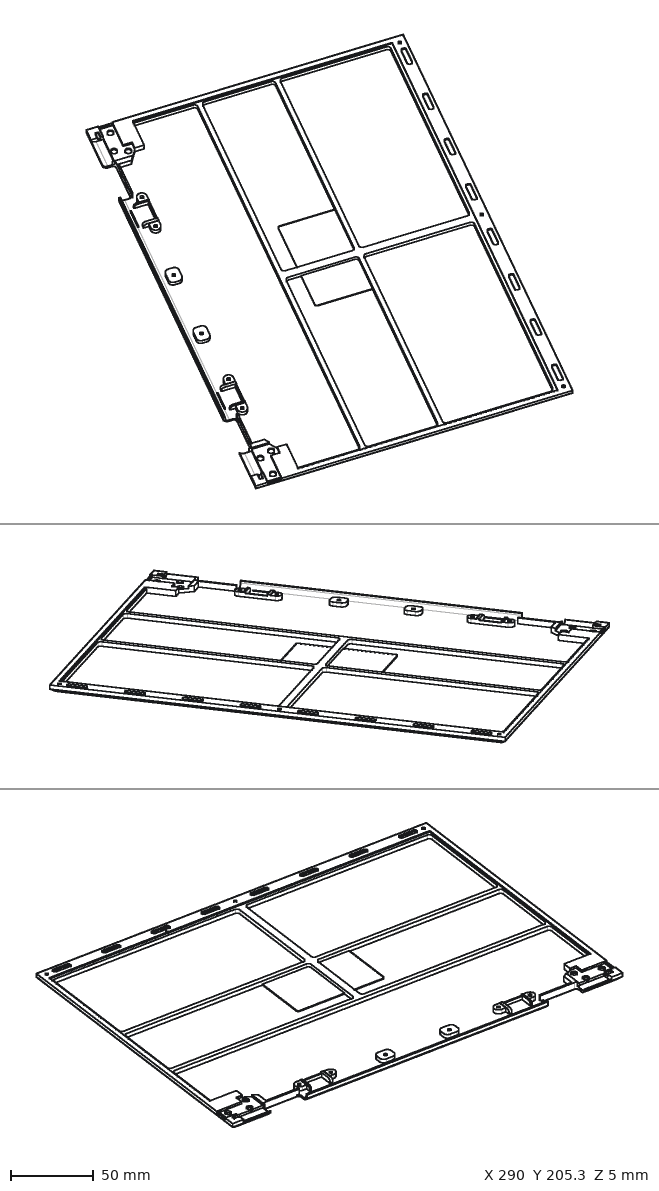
import cadquery as cq
import math

LENGTH = 290.0
DEPTH = 205.3
HEIGHT = 5.0
FRONT = -DEPTH / 2
BACK = DEPTH / 2
SIDE = LENGTH / 2
CHAMFER_HEIGHT = 2.3
CHAMFER_WIDTH = 3.2
FRONT_CHAMFER_WIDTH = 2.3

FLOOR_Z = 1.2
RIB_Z = 4.0

SIDE_RIM = 3.5
BACK_RIM = 8.5
LEDGE_SIDE = 1.2
LEDGE_BACK = 2.0
RIB_WIDTH = 3.2
CENTER_RIB_WIDTH = 5.2
REAR_RIB_Y = 19.0
MIDDLE_RIB_Y = -31.3
PANEL_RADIUS = 2.0
FRONT_LIP = 1.2
LIP_FILLET = 2.5

NOTCH_OUTER_X = 117.0
NOTCH_INNER_X = 89.5
NOTCH_Y = -94.5
NOTCH_LIP = 1.2
NOTCH_RADIUS = 2.0

CORNER_PAD_Y = -74.0
CORNER_PAD_X = 121.8
CORNER_PAD_SLOPE_Y = -80.0
CORNER_PAD_INNER_X = 113.7
CORNER_PAD_INNER_Y = -85.3

SEAT_Z = 3.5
SEAT_OUTER_X = 143.5
SEAT_STEP_X = 126.5
SEAT_BACK_Y = -85.8
SEAT_STEP_Y = CORNER_PAD_SLOPE_Y
SEAT_FRONT_Y = -94.8
SEAT_EDGE_Z = 4.0
SEAT_HOLES = [(139.0, -89.3), (122.0, -84.0), (125.0, -92.2)]
SEAT_HOLE_DIAMETER = 4.0
SEAT_HOLE_DEPTH = 1.2

TROUGH_OUTER_X = 137.0
TROUGH_Z = 1.7
TROUGH_LIP_Z = 3.8
TROUGH_CURVE = 3.2
TROUGH_SLOT_OUTER_X = 141.0
TROUGH_SLOT_Y = -97.5
TROUGH_SLOT_WIDTH = 2.0

SLOTS_PER_SIDE = 4
SLOT_FIRST_X = 18.3
SLOT_PITCH = 36.8
SLOT_Y = 99.0
SLOT_LENGTH = 12.8
SLOT_WIDTH = 3.2
SLOT_RADIUS = 1.2
SLOT_DEPTH = 1.2
RIM_HOLE_X = 140.0
RIM_HOLE_Y = 98.5
SMALL_HOLE_DIAMETER = 2.0
SMALL_HOLE_DEPTH = 1.7

PLATE_LEFT_X = -37.5
PLATE_RIGHT_X = 27.3
PLATE_FRONT_Y = -19.5
PLATE_HEIGHT = 0.5
PLATE_RADIUS = 1.5

BOSS_X = 23.8
BOSS_Y = -92.0
BOSS_LENGTH = 10.7
BOSS_WIDTH = 8.7
BOSS_RADIUS = 3.0
BOSS_Z = 3.8

EAR_Z = 4.0
CHEEK_Z = 4.4
CHEEK_FILLET = 2.3
BACK_WALL_Z = 3.5
BRACKET_BACK_Y = -85.8
EAR_WIDTH = 6.5
EAR_OUTER_X = 89.0
EAR_INNER_X = 59.2
CHEEK_OUTER_X = 82.6
CHEEK_INNER_X = 65.5
CHEEK_OUTER_WIDTH = 1.2
CHEEK_INNER_WIDTH = 2.0
CHEEK_FRONT_Y = -95.7
BACK_WALL = 1.0
GROOVE_Y = -98.3
GROOVE_LENGTH = 13.0
GROOVE_WIDTH = 0.5
GROOVE_DEPTH = 0.5


def block(x0, x1, y0, y1, z0, z1):
    """Box between two opposite corners."""
    box = cq.Workplane().box(x1 - x0, y1 - y0, z1 - z0, centered=False)
    return box.translate((x0, y0, z0))


def prism(points, z0, z1):
    """Upright prism over a polygon."""
    return cq.Workplane().workplane(offset=z0).polyline(points).close().extrude(z1 - z0)


def hole(x, y, top_z, diameter, depth):
    """Blind round hole sunk from top_z."""
    return cq.Workplane().workplane(offset=top_z - depth).center(x, y).circle(diameter / 2).extrude(depth)


def both_sides(shape):
    """A shape on the -X side together with its mirror image."""
    return shape.union(shape.mirror("YZ"))


def make_shell():
    """Outer tray with a chamfered bottom edge and the two hinge notches."""
    bottom_length = LENGTH - 2 * CHAMFER_WIDTH
    bottom_depth = DEPTH - CHAMFER_WIDTH - FRONT_CHAMFER_WIDTH
    bottom_y = (FRONT_CHAMFER_WIDTH - CHAMFER_WIDTH) / 2
    shell = (
        cq.Workplane()
        .center(0, bottom_y)
        .rect(bottom_length, bottom_depth)
        .workplane(offset=CHAMFER_HEIGHT)
        .center(0, -bottom_y)
        .rect(LENGTH, DEPTH)
        .loft(ruled=True)
    )
    shell = shell.union(block(-SIDE, SIDE, FRONT, BACK, CHAMFER_HEIGHT, HEIGHT))
    notch = block(-NOTCH_OUTER_X, -NOTCH_INNER_X, FRONT, NOTCH_Y, 0, HEIGHT)
    notch = notch.faces(">Y").edges("|Z").fillet(NOTCH_RADIUS)
    return shell.cut(both_sides(notch))


def panel(x0, x1, y0, y1):
    """Rounded pocket between ribs, down to the floor."""
    return block(x0, x1, y0, y1, FLOOR_Z, HEIGHT).edges("|Z").fillet(PANEL_RADIUS)


def corner_pad():
    """Full-height pad in the -X front corner, reaching the notch."""
    points = [
        (-SIDE, CORNER_PAD_Y),
        (-CORNER_PAD_X, CORNER_PAD_Y),
        (-CORNER_PAD_X, CORNER_PAD_SLOPE_Y),
        (-CORNER_PAD_INNER_X, CORNER_PAD_INNER_Y),
        (-CORNER_PAD_INNER_X, FRONT),
        (-SIDE, FRONT),
    ]
    return prism(points, 0, HEIGHT)


def notch_lip():
    """Thin wall along the back of the -X hinge notch."""
    return block(-NOTCH_OUTER_X, -NOTCH_INNER_X, NOTCH_Y, NOTCH_Y + NOTCH_LIP, 0, HEIGHT)


def make_interior():
    """Space removed from the shell: the ledge step and the panels between ribs."""
    inner_x = SIDE - SIDE_RIM
    panel_x = inner_x - LEDGE_SIDE
    panel_back = BACK - BACK_RIM - LEDGE_BACK
    half_rib = RIB_WIDTH / 2
    half_center = CENTER_RIB_WIDTH / 2
    lip_y = FRONT + FRONT_LIP
    front_bay_y = MIDDLE_RIB_Y - half_rib

    step = block(-inner_x, inner_x, CORNER_PAD_Y, BACK - BACK_RIM, RIB_Z, HEIGHT)
    rear = panel(-panel_x, -half_center, REAR_RIB_Y + half_rib, panel_back)
    middle = panel(-panel_x, -half_center, MIDDLE_RIB_Y + half_rib, REAR_RIB_Y - half_rib)

    front_bay = block(-panel_x, panel_x, lip_y, front_bay_y, FLOOR_Z, HEIGHT)
    front_bay = front_bay.faces(">Y").edges("|Z").fillet(PANEL_RADIUS)
    front_bay = front_bay.faces("<Y").edges("<Z").fillet(LIP_FILLET)
    front_bay = front_bay.cut(both_sides(corner_pad().union(notch_lip())))
    return step.union(both_sides(rear.union(middle))).union(front_bay)


def hinge_seat():
    """L-shaped recess in the corner pad, open over a lowered side rim, with its holes."""
    points = [
        (-SEAT_OUTER_X, SEAT_FRONT_Y),
        (-SEAT_OUTER_X, SEAT_BACK_Y),
        (-SEAT_STEP_X, SEAT_BACK_Y),
        (-SEAT_STEP_X, SEAT_STEP_Y),
        (-NOTCH_OUTER_X, SEAT_STEP_Y),
        (-NOTCH_OUTER_X, SEAT_FRONT_Y),
    ]
    seat = prism(points, SEAT_Z, HEIGHT)
    seat = seat.union(block(-SIDE, -SEAT_OUTER_X, SEAT_FRONT_Y, SEAT_BACK_Y, SEAT_EDGE_Z, HEIGHT))
    for x, y in SEAT_HOLES:
        seat = seat.union(hole(-x, y, SEAT_Z, SEAT_HOLE_DIAMETER, SEAT_HOLE_DEPTH))
    return seat


def hinge_trough():
    """Trough in front of the hinge seat, curving up to a lowered front lip."""
    start_y = FRONT + TROUGH_CURVE
    rise = TROUGH_LIP_Z - TROUGH_Z
    radius = (TROUGH_CURVE**2 + rise**2) / (2 * rise)
    half_angle = math.atan2(rise, TROUGH_CURVE)
    middle_y = start_y - radius * math.sin(half_angle)
    middle_z = TROUGH_Z + radius * (1 - math.cos(half_angle))
    profile = (
        cq.Workplane("YZ")
        .moveTo(SEAT_FRONT_Y, HEIGHT)
        .lineTo(SEAT_FRONT_Y, TROUGH_Z)
        .lineTo(start_y, TROUGH_Z)
        .threePointArc((middle_y, middle_z), (FRONT, TROUGH_LIP_Z))
        .lineTo(FRONT, HEIGHT)
        .close()
    )
    trough = profile.extrude(TROUGH_OUTER_X - NOTCH_OUTER_X).translate((-TROUGH_OUTER_X, 0, 0))
    slot_half = TROUGH_SLOT_WIDTH / 2
    slot = block(
        -TROUGH_SLOT_OUTER_X,
        -TROUGH_OUTER_X,
        TROUGH_SLOT_Y - slot_half,
        TROUGH_SLOT_Y + slot_half,
        SEAT_Z,
        HEIGHT,
    )
    return trough.union(slot)


def back_rim_cuts():
    """Row of shallow slots and three small holes along the back rim."""
    cuts = hole(0, RIM_HOLE_Y, HEIGHT, SMALL_HOLE_DIAMETER, SMALL_HOLE_DEPTH)
    for x in [-RIM_HOLE_X, RIM_HOLE_X]:
        cuts = cuts.union(hole(x, RIM_HOLE_Y, HEIGHT, SMALL_HOLE_DIAMETER, SMALL_HOLE_DEPTH))
    slot = cq.Workplane().box(SLOT_LENGTH, SLOT_WIDTH, SLOT_DEPTH).edges("|Z").fillet(SLOT_RADIUS)
    for index in range(SLOTS_PER_SIDE):
        x = SLOT_FIRST_X + index * SLOT_PITCH
        cuts = cuts.union(both_sides(slot.translate((-x, SLOT_Y, HEIGHT - SLOT_DEPTH / 2))))
    return cuts


def thin_plate():
    """Thin plate on the floor on both sides of the centre rib."""
    back_y = REAR_RIB_Y - RIB_WIDTH / 2
    plate = block(PLATE_LEFT_X, PLATE_RIGHT_X, PLATE_FRONT_Y, back_y, FLOOR_Z, FLOOR_Z + PLATE_HEIGHT)
    return plate.faces("<Y").edges("|Z").fillet(PLATE_RADIUS)


def screw_boss():
    """Rounded boss with a small blind hole."""
    boss = cq.Workplane().box(BOSS_LENGTH, BOSS_WIDTH, BOSS_Z - FLOOR_Z, centered=(True, True, False))
    boss = boss.edges("|Z").fillet(BOSS_RADIUS).translate((-BOSS_X, BOSS_Y, FLOOR_Z))
    return boss.cut(hole(-BOSS_X, BOSS_Y, BOSS_Z, SMALL_HOLE_DIAMETER, SMALL_HOLE_DEPTH))


def bracket_ear(tip_x, cheek_x):
    """Round-ended ear running from its tip to a cheek, with a small blind hole."""
    radius = EAR_WIDTH / 2
    y = BRACKET_BACK_Y - radius
    center_x = tip_x + radius if tip_x < cheek_x else tip_x - radius
    ear = hole(center_x, y, EAR_Z, EAR_WIDTH, EAR_Z - FLOOR_Z)
    near_x, far_x = sorted((center_x, cheek_x))
    ear = ear.union(block(near_x, far_x, y - radius, y + radius, FLOOR_Z, EAR_Z))
    return ear.cut(hole(center_x, y, EAR_Z, SMALL_HOLE_DIAMETER, SMALL_HOLE_DEPTH))


def bracket():
    """Two cheeks with rounded front tops, joined by a thin back wall, with outward ears."""
    outer_x = -CHEEK_OUTER_X + CHEEK_OUTER_WIDTH
    inner_x = -CHEEK_INNER_X - CHEEK_INNER_WIDTH
    wall_y = BRACKET_BACK_Y - BACK_WALL
    frame = block(outer_x, inner_x, wall_y, BRACKET_BACK_Y, FLOOR_Z, BACK_WALL_Z)
    for x0, x1 in [(-CHEEK_OUTER_X, outer_x), (inner_x, -CHEEK_INNER_X)]:
        cheek = block(x0, x1, CHEEK_FRONT_Y, BRACKET_BACK_Y, FLOOR_Z, CHEEK_Z)
        frame = frame.union(cheek.faces("<Y").edges(">Z").fillet(CHEEK_FILLET))
    ears = bracket_ear(-EAR_OUTER_X, -CHEEK_OUTER_X).union(bracket_ear(-EAR_INNER_X, -CHEEK_INNER_X))
    return frame.union(ears)


def bracket_groove():
    """Narrow groove in the floor in front of the bracket."""
    center_x = -(CHEEK_OUTER_X + CHEEK_INNER_X) / 2
    groove = cq.Workplane().box(GROOVE_LENGTH, GROOVE_WIDTH, GROOVE_DEPTH)
    return groove.translate((center_x, GROOVE_Y, FLOOR_Z - GROOVE_DEPTH / 2))


lid = make_shell().cut(make_interior())
lid = lid.cut(both_sides(hinge_seat().union(hinge_trough())))
lid = lid.cut(back_rim_cuts())
lid = lid.cut(both_sides(bracket_groove()))
lid = lid.union(thin_plate())
lid = lid.union(both_sides(screw_boss().union(bracket())))
result = lid.clean()